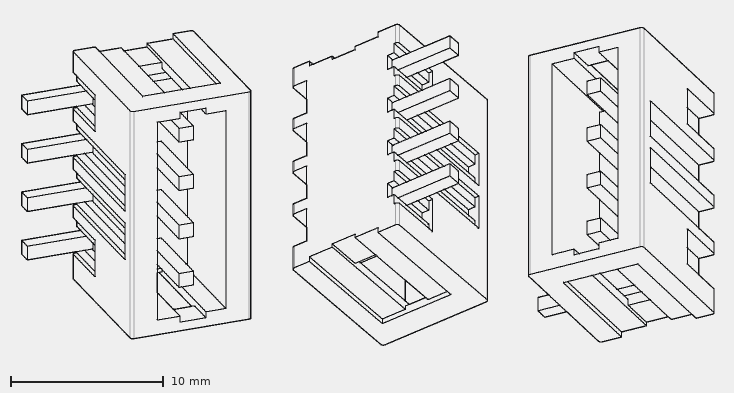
import cadquery as cq

LENGTH = 10.3
DEPTH = 8.51
HEIGHT = 16.4
EDGE_RADIUS = 0.2

PIN_COUNT = 4
PIN_PITCH = 3.5
PIN_SIZE = 1.0
FIRST_PIN_Z = 3.1
PIN_Y = 4.33
PIN_TIP_X = 9.18
LEAD_X = 1.02
LEAD_REACH = 3.79

CAVITY_START_X = 3.6
CAVITY_SIDE_WALL = 1.84
CAVITY_END_WALL = 1.07

RECESS_LENGTH = 8.3
RECESS_Y = 4.36
RECESS_WIDTH = 5.5
RECESS_DEPTH = 0.38
WINDOW_WIDTH = 1.82
WINDOW_DEPTH = 0.64

SHELF_START_X = 2.6
SHELF_DEPTH = 1.41

SHORT_SLOT_LENGTH = 3.94
LONG_SLOT_LENGTH = 9.18
SLOT_HEIGHT = 2.64
SLOT_DEPTH = 0.31
CHANNEL_HEIGHT = 1.13
CHANNEL_DEPTH = 0.84
POCKET_DEPTH = 1.2


def block(x_range, y_range, z_range):
    """Axis-aligned box spanning the given (low, high) ranges."""
    (x0, x1), (y0, y1), (z0, z1) = x_range, y_range, z_range
    return cq.Workplane("XY").box(x1 - x0, y1 - y0, z1 - z0, centered=False).translate((x0, y0, z0))


def span(center, size):
    """Range of the given size about a center."""
    return (center - size / 2, center + size / 2)


def housing_block():
    body = block((0, LENGTH), (0, DEPTH), (0, HEIGHT))
    return body.edges("|Z").fillet(EDGE_RADIUS)


def mating_cavity():
    """Main cavity, reaching further back above and below two shelves in the back wall."""
    side_range = (CAVITY_SIDE_WALL, DEPTH - CAVITY_SIDE_WALL)
    main = block((CAVITY_START_X, LENGTH), side_range, (CAVITY_END_WALL, HEIGHT - CAVITY_END_WALL))
    shelf_x = (SHELF_START_X, CAVITY_START_X)
    top_gap = block(shelf_x, side_range, (HEIGHT - SHELF_DEPTH, HEIGHT - CAVITY_END_WALL))
    bottom_gap = block(shelf_x, side_range, (CAVITY_END_WALL, SHELF_DEPTH))
    return main.union(top_gap).union(bottom_gap)


def top_openings():
    """Stepped recess in the top face and the keyway that opens it into the cavity."""
    recess = block((0, RECESS_LENGTH), span(RECESS_Y, RECESS_WIDTH), (HEIGHT - RECESS_DEPTH, HEIGHT))
    window = block((0, RECESS_LENGTH), span(RECESS_Y, WINDOW_WIDTH), (HEIGHT - WINDOW_DEPTH, HEIGHT))
    keyway = block(
        (SHELF_START_X, LENGTH),
        span(RECESS_Y, WINDOW_WIDTH),
        (HEIGHT - CAVITY_END_WALL, HEIGHT - WINDOW_DEPTH),
    )
    return recess.union(window).union(keyway)


def lead_cutouts(z, length):
    """Stepped slot on the -Y face and plain pocket on the +Y face at one pin."""
    slot = block((0, length), (0, SLOT_DEPTH), span(z, SLOT_HEIGHT))
    channel = block((0, length), (0, CHANNEL_DEPTH), span(z, CHANNEL_HEIGHT))
    pocket = block((0, length), (DEPTH - POCKET_DEPTH, DEPTH), span(z, SLOT_HEIGHT))
    return slot.union(channel).union(pocket)


def bent_pin(z):
    """Contact along X joined to a lead that leaves the housing towards -Y."""
    lead_x = span(LEAD_X, PIN_SIZE)
    pin_y = span(PIN_Y, PIN_SIZE)
    pin_z = span(z, PIN_SIZE)
    contact = block((lead_x[0], PIN_TIP_X), pin_y, pin_z)
    lead = block(lead_x, (-LEAD_REACH, pin_y[1]), pin_z)
    return contact.union(lead)


pin_heights = [FIRST_PIN_Z + i * PIN_PITCH for i in range(PIN_COUNT)]

result = housing_block().cut(mating_cavity())

openings = top_openings()
mirrored_openings = openings.mirror("XY", (0, 0, HEIGHT / 2))
result = result.cut(openings).cut(mirrored_openings)

for i, pin_z in enumerate(pin_heights):
    is_outermost = i in (0, PIN_COUNT - 1)
    slot_length = SHORT_SLOT_LENGTH if is_outermost else LONG_SLOT_LENGTH
    result = result.cut(lead_cutouts(pin_z, slot_length))

for pin_z in pin_heights:
    result = result.union(bent_pin(pin_z))